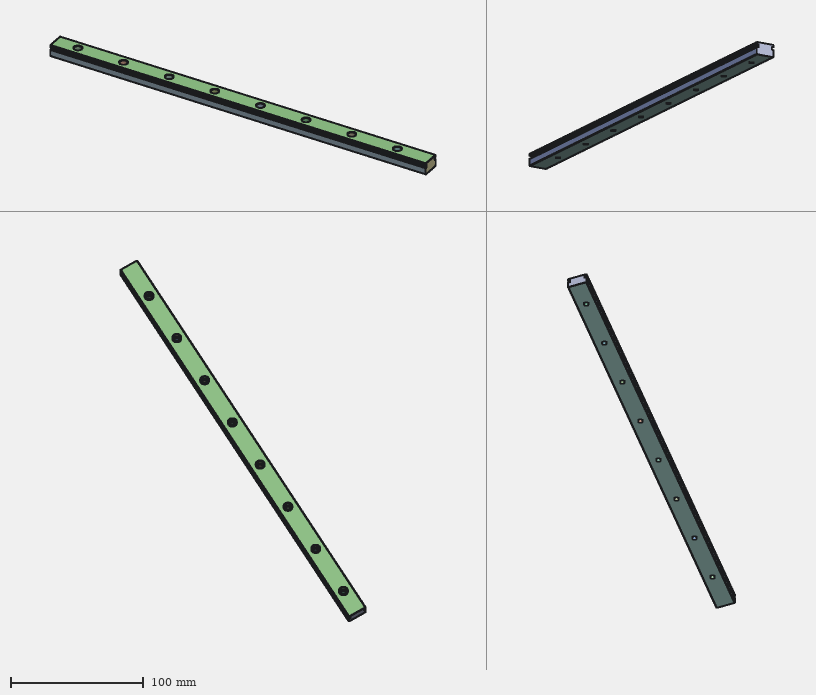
import cadquery as cq

rail_length = 329.37
rail_width = 15.0
rail_height = 10.0
long_edge_chamfer = 0.5
end_chamfer = 0.25

groove_depth = 1.5
groove_width = 2.5
groove_flank_height = 0.5
groove_centre_height = 7.0

hole_count = 8
hole_pitch = 40.0
first_hole_offset = 20.0
bolt_diameter = 3.5
head_diameter = 6.0
head_depth = 4.5
hole_mouth_chamfer = 0.5


def make_bar():
    """Rectangular bar with its four long edges chamfered."""
    bar = cq.Workplane("XY").box(rail_length, rail_width, rail_height, centered=(False, True, False))
    return bar.edges("|X").chamfer(long_edge_chamfer)


def make_groove(side):
    """Trapezoidal groove cutter for the side at +Y (side = 1) or -Y (side = -1)."""
    outer = side * rail_width / 2
    floor = side * (rail_width / 2 - groove_depth)
    bottom = groove_centre_height - groove_width / 2
    top = groove_centre_height + groove_width / 2
    outline = [
        (outer, bottom),
        (floor, bottom + groove_flank_height),
        (floor, top - groove_flank_height),
        (outer, top),
    ]
    return cq.Workplane("YZ").polyline(outline).close().extrude(rail_length)


def chamfer_ends(body):
    """Break the full outline of both end faces."""
    return body.faces("<X or >X").edges().chamfer(end_chamfer)


def cut_mounting_holes(body):
    """Row of counterbored through holes with chamfered mouths in the top face."""
    centres = [(first_hole_offset + i * hole_pitch, 0) for i in range(hole_count)]
    drilled = (
        body.faces(">Z")
        .workplane(origin=(0, 0, rail_height))
        .pushPoints(centres)
        .cboreHole(bolt_diameter, head_diameter, head_depth)
    )
    return drilled.faces(">Z").edges("%CIRCLE").chamfer(hole_mouth_chamfer)


rail = make_bar()
for side in (1, -1):
    rail = rail.cut(make_groove(side))
rail = chamfer_ends(rail)
result = cut_mounting_holes(rail)